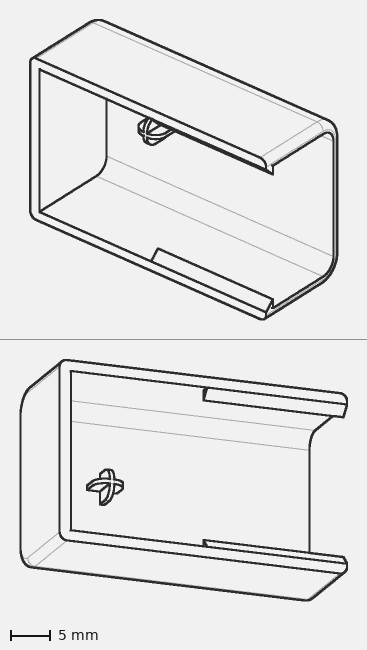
import cadquery as cq

length = 38.6
depth = 14.5
height = 23.8

side_wall = 1.4
back_wall = 1.4
end_wall = 1.5

inner_radius = 2.0
outer_radius = inner_radius + side_wall
edge_radius = 1.0

catch_size = 1.3
catch_length = 18.8

bump_width = 4.0
bump_height = 3.5
bump_thickness = 0.6
bump_round = (bump_width - bump_thickness) / 2
bump_x = 10.75

inner_back = depth - back_wall
inner_bottom = side_wall
inner_top = height - side_wall
mid_height = height / 2


def make_body():
    """Block with large rounds along the back and small rounds around both ends."""
    block = cq.Workplane("XY").box(length, depth, height, centered=False)
    block = block.edges("|X and >Y").fillet(outer_radius)
    end_outlines = block.faces("<X or >X").edges("not <Y")
    return end_outlines.fillet(edge_radius)


def make_cavity():
    """Inner space, open at the front and at the high-X end."""
    cavity = (
        cq.Workplane("XY")
        .box(length - end_wall, inner_back, inner_top - inner_bottom, centered=False)
        .translate((end_wall, 0, inner_bottom))
    )
    return cavity.edges("|X and >Y").fillet(inner_radius)


def make_catch(wall_z, inward):
    """Triangular catch on a side wall; inward is +1 or -1 along Z."""
    tip_z = wall_z + inward * catch_size
    return (
        cq.Workplane("YZ")
        .workplane(offset=length - catch_length)
        .polyline([(0, wall_z), (catch_size, tip_z), (catch_size, wall_z)])
        .close()
        .extrude(catch_length)
    )


def make_bump_blade():
    """Thin blade standing out from the origin towards -Y, its tip rounded up to a narrow flat."""
    blade = cq.Workplane("XY").box(bump_width, bump_height, bump_thickness)
    blade = blade.edges("|Z and <Y").fillet(bump_round)
    return blade.translate((0, -bump_height / 2, 0))


def make_bump():
    """Two crossed blades rising from the inner face of the back wall."""
    flat_blade = make_bump_blade()
    upright_blade = flat_blade.rotate((0, 0, 0), (0, 1, 0), 90)
    return flat_blade.union(upright_blade).translate((bump_x, inner_back, mid_height))


result = make_body().cut(make_cavity())
result = result.union(make_catch(inner_bottom, 1))
result = result.union(make_catch(inner_top, -1))
result = result.union(make_bump())